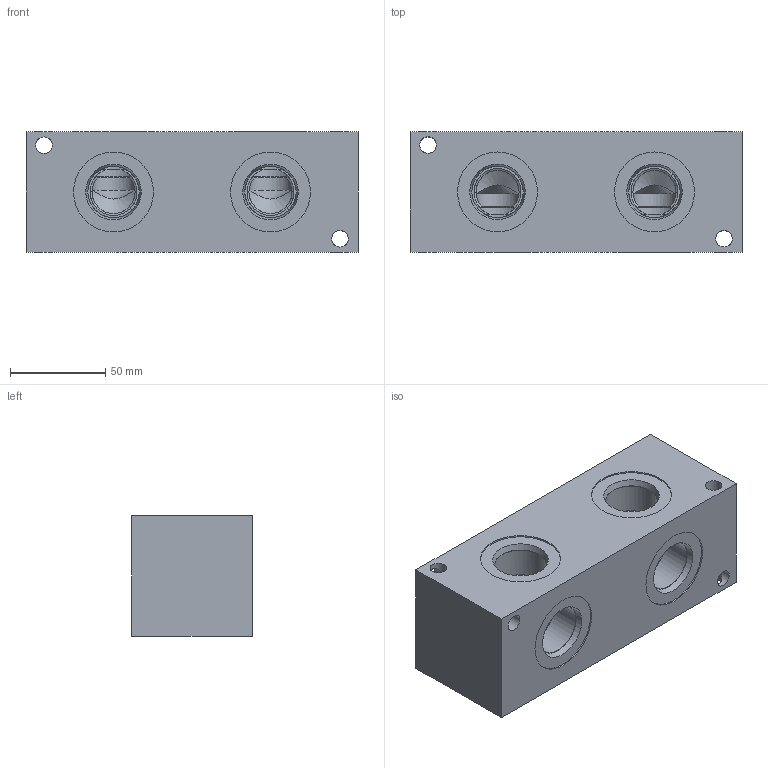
import cadquery as cq
import math

LENGTH = 174.62
SIDE = 63.5

PORT_SPACING = 82.55
PORT_X_POSITIONS = (LENGTH / 2 - PORT_SPACING / 2, LENGTH / 2 + PORT_SPACING / 2)
SPOTFACE_DIAMETER = 42.04
SPOTFACE_DEPTH = 0.75
SEAT_MOUTH_DIAMETER = 29.2
SEAT_END_DIAMETER = 27.43
SEAT_ANGLE = 15.0
THREAD_DIAMETER = 26.99
THREAD_DEPTH = 19.85
TAP_DRILL_DIAMETER = 24.75
TAP_DRILL_DEPTH = 23.6
BORE_DIAMETER = 22.7
BORE_DEPTH = 30.85
DRILL_POINT_ANGLE = 118.0

MOUNT_DIAMETER = 8.74
MOUNT_END_INSET = 9.5
MOUNT_EDGE_INSET = 7.15
MOUNT_POSITIONS = (
    (MOUNT_END_INSET, SIDE - MOUNT_EDGE_INSET),
    (LENGTH - MOUNT_END_INSET, MOUNT_EDGE_INSET),
)


def make_block():
    return cq.Workplane("XY").box(LENGTH, SIDE, SIDE, centered=False)


def make_port_cutter():
    """Stepped port, with its mouth at the origin and its axis running down -Z."""
    seat_length = (SEAT_MOUTH_DIAMETER - SEAT_END_DIAMETER) / 2 / math.tan(math.radians(SEAT_ANGLE))
    seat_end_depth = SPOTFACE_DEPTH + seat_length
    point_slope = 1 / math.tan(math.radians(DRILL_POINT_ANGLE / 2))
    shoulder_length = (TAP_DRILL_DIAMETER - BORE_DIAMETER) / 2 * point_slope
    point_length = BORE_DIAMETER / 2 * point_slope
    profile = [
        (0, 0),
        (SPOTFACE_DIAMETER / 2, 0),
        (SPOTFACE_DIAMETER / 2, -SPOTFACE_DEPTH),
        (SEAT_MOUTH_DIAMETER / 2, -SPOTFACE_DEPTH),
        (SEAT_END_DIAMETER / 2, -seat_end_depth),
        (THREAD_DIAMETER / 2, -seat_end_depth),
        (THREAD_DIAMETER / 2, -THREAD_DEPTH),
        (TAP_DRILL_DIAMETER / 2, -THREAD_DEPTH),
        (TAP_DRILL_DIAMETER / 2, -TAP_DRILL_DEPTH),
        (BORE_DIAMETER / 2, -TAP_DRILL_DEPTH - shoulder_length),
        (BORE_DIAMETER / 2, -BORE_DEPTH),
        (0, -BORE_DEPTH - point_length),
    ]
    return cq.Workplane("XZ").polyline(profile).close().revolve()


def cut_ports(body):
    top_port = make_port_cutter()
    front_port = top_port.rotate((0, 0, 0), (1, 0, 0), 90)
    for x in PORT_X_POSITIONS:
        body = body.cut(top_port.translate((x, SIDE / 2, SIDE)))
        body = body.cut(front_port.translate((x, 0, SIDE / 2)))
    return body


def cut_mounting_holes(body):
    radius = MOUNT_DIAMETER / 2
    vertical = cq.Workplane("XY").pushPoints(MOUNT_POSITIONS).circle(radius).extrude(SIDE)
    crosswise = cq.Workplane("XZ").pushPoints(MOUNT_POSITIONS).circle(radius).extrude(-SIDE)
    return body.cut(vertical).cut(crosswise)


result = cut_mounting_holes(cut_ports(make_block()))